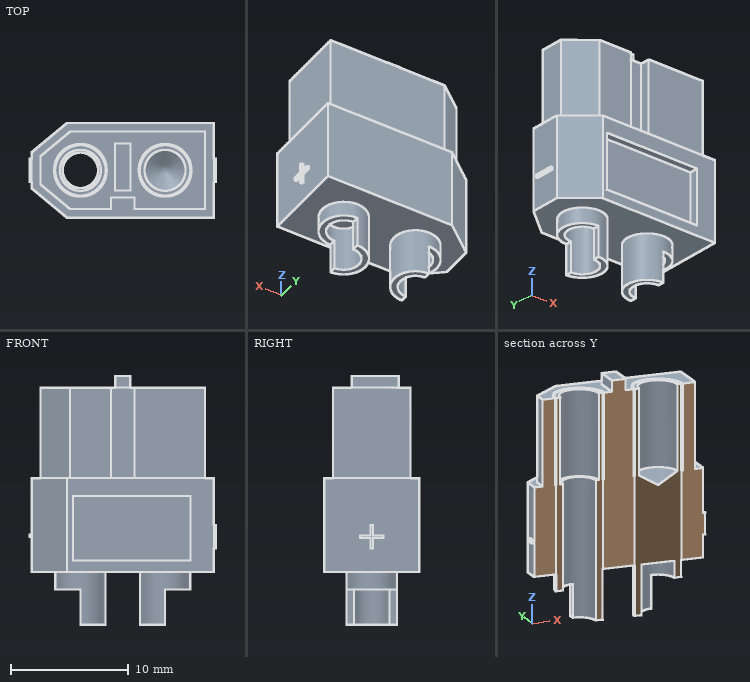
import cadquery as cq
import math

BASE_LENGTH = 15.5
BASE_WIDTH = 8.1
BASE_HEIGHT = 8.0
TAPER_LENGTH = 3.0
TAPER_WIDTH = 2.5
TOWER_INSET = 0.75
TOWER_HEIGHT = 7.72
TOWER_TOP = BASE_HEIGHT + TOWER_HEIGHT
TOWER_FRONT = -BASE_WIDTH / 2 + TOWER_INSET

RIB_LENGTH = 1.31
RIB_WIDTH = 4.0
RIB_HEIGHT = 1.0
RIB_OFFSET_Y = 0.3
GROOVE_WIDTH = 2.0
GROOVE_DEPTH = 1.0

RECESS_LENGTH = 10.0
RECESS_HEIGHT = 5.5
RECESS_DEPTH = 0.9
RECESS_FROM_END = 3.5
RECESS_FROM_BOTTOM = 1.0

MARK_LENGTH = 2.0
MARK_STROKE = 0.2
MARK_RELIEF = 0.201
MINUS_Z = 3.1
PLUS_Z = 3.0

CONTACT_SPACING = 7.2
CONTACT_DIAMETER = 4.3
CLEARANCE_DIAMETER = 4.5
SOCKET_DIAMETER = 3.5
SOCKET_DEPTH = TOWER_HEIGHT
SOCKET_BOTTOM = TOWER_TOP - SOCKET_DEPTH
DRILL_POINT_ANGLE = 118
CUP_DIAMETER = 3.0
CONTACT_DROP = 4.5
CUP_COLLAR = 1.5

LEFT_X = -CONTACT_SPACING / 2
RIGHT_X = CONTACT_SPACING / 2


def cylinder(x, bottom, diameter, height):
    """Upright cylinder centred on Y = 0."""
    return cq.Workplane("XY", origin=(x, 0, bottom)).circle(diameter / 2).extrude(height)


def tapered_outline():
    """Base outline: a rectangle with both -X corners sloped."""
    end_x = BASE_LENGTH / 2
    side_y = BASE_WIDTH / 2
    return cq.Workplane("XY").polyline([
        (end_x, -side_y),
        (end_x, side_y),
        (-end_x + TAPER_LENGTH, side_y),
        (-end_x, side_y - TAPER_WIDTH),
        (-end_x, -side_y + TAPER_WIDTH),
        (-end_x + TAPER_LENGTH, -side_y),
    ]).close()


def make_shell():
    base = tapered_outline().extrude(BASE_HEIGHT)
    tower = tapered_outline().offset2D(-TOWER_INSET).extrude(TOWER_TOP)
    return base.union(tower)


def make_rib():
    return (
        cq.Workplane("XY", origin=(0, RIB_OFFSET_Y, TOWER_TOP))
        .rect(RIB_LENGTH, RIB_WIDTH)
        .extrude(RIB_HEIGHT)
    )


def make_groove():
    return (
        cq.Workplane("XY", origin=(0, TOWER_FRONT, BASE_HEIGHT))
        .rect(GROOVE_WIDTH, 2 * GROOVE_DEPTH)
        .extrude(TOWER_HEIGHT)
    )


def make_recess():
    corner = (-BASE_LENGTH / 2 + RECESS_FROM_END, -BASE_WIDTH / 2, RECESS_FROM_BOTTOM)
    return (
        cq.Workplane("XY", origin=corner)
        .box(RECESS_LENGTH, RECESS_DEPTH, RECESS_HEIGHT, centered=False)
    )


def make_mark_bar(end, z, width, height):
    """One raised bar, on the -X end (end = -1) or the +X end (end = 1)."""
    x = end * (BASE_LENGTH + MARK_RELIEF) / 2
    return cq.Workplane("XY", origin=(x, 0, z)).box(MARK_RELIEF, width, height)


def make_housing():
    housing = make_shell().union(make_rib()).cut(make_groove()).cut(make_recess())
    for x in (LEFT_X, RIGHT_X):
        housing = housing.cut(cylinder(x, 0, CONTACT_DIAMETER, TOWER_TOP))
        housing = housing.cut(cylinder(x, BASE_HEIGHT, CLEARANCE_DIAMETER, TOWER_HEIGHT))
    minus = make_mark_bar(-1, MINUS_Z, MARK_LENGTH, MARK_STROKE)
    plus_horizontal = make_mark_bar(1, PLUS_Z, MARK_LENGTH, MARK_STROKE)
    plus_vertical = make_mark_bar(1, PLUS_Z, MARK_STROKE, MARK_LENGTH)
    return housing.union(minus).union(plus_horizontal).union(plus_vertical)


def make_drill_point(x):
    """Conical bottom of a drilled socket bore."""
    radius = SOCKET_DIAMETER / 2
    tip = SOCKET_BOTTOM - radius / math.tan(math.radians(DRILL_POINT_ANGLE / 2))
    return (
        cq.Workplane("XZ", origin=(x, 0, 0))
        .polyline([(0, tip), (radius, SOCKET_BOTTOM), (0, SOCKET_BOTTOM)])
        .close()
        .revolve(360, (0, 0, 0), (0, 1, 0))
    )


def make_contact(x, cup_top):
    """Contact whose solder cup opens outward, away from the other contact."""
    bottom = -CONTACT_DROP
    outward = math.copysign(1, x)
    opening = (
        cq.Workplane("XY", origin=(x + outward * CONTACT_DIAMETER / 2, 0, bottom))
        .rect(CONTACT_DIAMETER, CONTACT_DIAMETER)
        .extrude(CONTACT_DROP - CUP_COLLAR)
    )
    contact = cylinder(x, bottom, CONTACT_DIAMETER, TOWER_TOP - bottom)
    socket = cylinder(x, SOCKET_BOTTOM, SOCKET_DIAMETER, SOCKET_DEPTH)
    cup = cylinder(x, bottom, CUP_DIAMETER, cup_top - bottom)
    return contact.cut(socket).cut(cup).cut(opening)


housing = make_housing()
through_contact = make_contact(LEFT_X, SOCKET_BOTTOM)
blind_contact = make_contact(RIGHT_X, 0).cut(make_drill_point(RIGHT_X))
result = cq.Compound.makeCompound([housing.val(), through_contact.val(), blind_contact.val()])